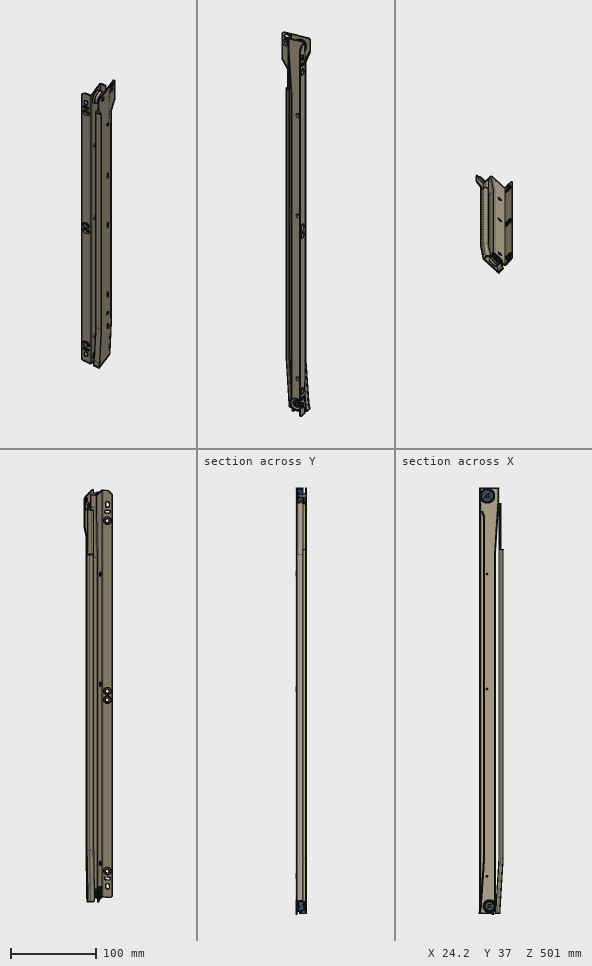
import cadquery as cq

LENGTH = 501.0
SHEET = 1.2
END_GAP = 1.5
CORNER = 2.0
SELECT_MARGIN = 0.15
BEND_RADIUS = 2.0

RAIL_BOTTOM = 6.0
RAIL_TOP = 29.5
RAIL_DEPTH = 8.0
LIP_HEIGHT = 5.5
LIP_BEND_RADIUS = 3.5
SINK_START = 66.0
SINK = 4.0
FLARE_HEIGHT = 8.0
FLARE = 1.5
RAMP_BOTTOM = 467.5
RAMP_TOP = 483.0
HIGH_LIP_BOTTOM = 429.0
HIGH_FLANGE_TOP = 26.5
HIGH_LIP_HEIGHT = 2.5
PLATE_TOP = 37.0
TAPER_BOTTOM = 452.5
TAPER_TOP = 464.5
PLATE_HOLE_Y = 30.5
PLATE_BOSS_Z = 489.0
PLATE_SLOT_Z = 496.5
BOSS_DEPTH = 3.5
TRACK_HOLE_Y = 21.0
TRACK_HOLE_DIAMETER = 3.5
TRACK_HOLES_Z = (434.0, 82.5)
TRACK_SLOT_LENGTH = 8.0
TRACK_SLOT_WIDTH = 1.5
TRACK_SLOTS_Z = (339.0, 246.5, 117.5, 58.5)

RAIL_GAP = 3.0
WEB_X = -(RAIL_DEPTH + RAIL_GAP + SHEET)
WEB_INNER = WEB_X + SHEET
SEAT_WIDTH = 12.0
SEAT_EDGE = WEB_X - SEAT_WIDTH
SEAT_BOTTOM = 1.0
WEB_TOP = 20.0
WEB_END_TOP = 24.0
WEB_SLOPE_BOTTOM = 423.5
WEB_SLOPE_TOP = 486.0
FOLD_WIDTH = 8.0
FOLD_BOTTOM = 16.0
SEAT_CHAMFER = 4.5
SEAT_HOLE_X = -18.5
SCREW_HOLES_Z = (464.5, 255.0, 244.5, 34.0)
CROSS_SLOTS_Z = (475.0, 24.5)
LONG_SLOTS_Z = (484.0, 15.0)
WEB_HOLE_Y = 10.0
WEB_HOLE_DIAMETER = 1.5
WEB_HOLE_RIM = 5.5
WEB_HOLES_Z = (400.5, 265.0, 45.0)
TIP_BOTTOM = 16.0
TIP_TOP = 18.0

SCREW_DIAMETER = 4.5
SCREW_RIM = 9.0
SCREW_BOSS = 1.0
SLOT_LENGTH = 7.0
SLOT_WIDTH = 4.5
CROSS_SLOT_WIDTH = 3.5

CABINET_AXLE = (10.5, 492.0)
CABINET_ROLLER_RADIUS = 8.5
CABINET_ROLLER_X = (-10.5, -4.0)
TREAD_WIDTH = 3.0
HUB_STEP = 1.0
DRAWER_AXLE = (13.0, 10.0)
DRAWER_ROLLER_RADIUS = 6.5
DRAWER_ROLLER_X = (-9.0, -2.5)
ROLLER_CHAMFER = 0.75
LUG_RADIUS = 8.5
DISH_RADIUS = 7.5
DISH_FLOOR_RADIUS = 4.5
DISH_DEPTH = 1.5
SHANK_RADIUS = 1.5
HEAD_RADIUS = 3.0
HEAD_HEIGHT = 1.0


def plate(points, x_from, x_to):
    """Solid with the given Y-Z outline between two X positions."""
    return cq.Workplane("YZ").workplane(offset=x_from).polyline(points).close().extrude(x_to - x_from)


def disc(centre, radius, x_from, x_to):
    """Cylinder along X around a Y-Z centre."""
    return cq.Workplane("YZ").workplane(offset=x_from).center(*centre).circle(radius).extrude(x_to - x_from)


def cone(centre, radius_from, radius_to, x_from, x_to):
    """Truncated cone along X around a Y-Z centre."""
    base = cq.Workplane("YZ").workplane(offset=x_from).center(*centre).circle(radius_from)
    return base.workplane(offset=x_to - x_from).circle(radius_to).loft()


def strip(path, thickness, x_from, x_to):
    """Sheet strip that follows a Y-Z path and is thickened towards +Y."""
    far_side = [(y + thickness, z) for y, z in reversed(path)]
    return plate(path + far_side, x_from, x_to)


def round_bend(body, x, y_from, y_to, radius):
    """Round the edges that run along the length at the given X and within a Y range."""
    zone = cq.selectors.BoxSelector(
        (x - SELECT_MARGIN, y_from - SELECT_MARGIN, SELECT_MARGIN),
        (x + SELECT_MARGIN, y_to + SELECT_MARGIN, LENGTH - SELECT_MARGIN),
    )
    return body.edges(zone).edges("not #Z").fillet(radius)


def make_lipped_flange(top_edge, lip_height, bend_radius):
    """Flange below a Y-Z top edge with a hanging lip along its front."""
    roof = strip([(y - SHEET, z) for y, z in top_edge], SHEET, -RAIL_DEPTH, 0)
    lip = strip([(y - lip_height, z) for y, z in top_edge], lip_height, -RAIL_DEPTH, SHEET - RAIL_DEPTH)
    heights = [y for y, z in top_edge]
    low, high = min(heights), max(heights)
    flange = round_bend(roof.union(lip), SHEET - RAIL_DEPTH, low - SHEET, high - SHEET, bend_radius - SHEET)
    return round_bend(flange, -RAIL_DEPTH, low, high, bend_radius)


def make_cabinet_rail():
    end_bottom = RAIL_BOTTOM - SINK
    low_edge = [
        (end_bottom - FLARE, END_GAP),
        (end_bottom, FLARE_HEIGHT),
        (RAIL_BOTTOM, SINK_START),
        (RAIL_BOTTOM, RAMP_BOTTOM),
        (0, RAMP_TOP),
    ]
    high_edge = [
        (PLATE_TOP, LENGTH - CORNER),
        (PLATE_TOP, TAPER_TOP),
        (RAIL_TOP, TAPER_BOTTOM),
        (RAIL_TOP, SINK_START),
        (RAIL_TOP - SINK, END_GAP),
    ]
    end_edge = [(0, LENGTH - CORNER), (CORNER, LENGTH), (PLATE_TOP - CORNER, LENGTH)]
    rail = plate(low_edge + end_edge + high_edge, -SHEET, 0)

    flange = strip(low_edge, SHEET, -RAIL_DEPTH, 0)
    ramp_cut = (
        cq.Workplane("XZ")
        .polyline([
            (-RAIL_DEPTH, RAMP_BOTTOM + SHEET),
            (-RAIL_DEPTH, LENGTH),
            (-SHEET, LENGTH),
            (-SHEET, RAMP_TOP),
        ])
        .close()
        .extrude(-RAIL_BOTTOM - SHEET)
    )
    rail = rail.union(flange.cut(ramp_cut))

    sinking_top = [(RAIL_TOP - SINK, END_GAP), (RAIL_TOP, SINK_START), (RAIL_TOP, HIGH_LIP_BOTTOM)]
    high_top = [(HIGH_FLANGE_TOP, HIGH_LIP_BOTTOM), (HIGH_FLANGE_TOP, RAMP_TOP)]
    rail = rail.union(make_lipped_flange(sinking_top, LIP_HEIGHT, LIP_BEND_RADIUS))
    rail = rail.union(make_lipped_flange(high_top, HIGH_LIP_HEIGHT, BEND_RADIUS))

    boss = (PLATE_HOLE_Y, PLATE_BOSS_Z)
    rail = rail.union(disc(boss, SCREW_RIM / 2, -BOSS_DEPTH, 0))
    rail = rail.cut(disc(boss, SCREW_DIAMETER / 2, -BOSS_DEPTH, 0))
    slot = cq.Workplane("YZ").center(PLATE_HOLE_Y, PLATE_SLOT_Z).slot2D(SLOT_LENGTH, SLOT_WIDTH)
    rail = rail.cut(slot.extrude(-SHEET))
    for z in TRACK_HOLES_Z:
        rail = rail.cut(disc((TRACK_HOLE_Y, z), TRACK_HOLE_DIAMETER / 2, -SHEET, 0))
    for z in TRACK_SLOTS_Z:
        slot = cq.Workplane("YZ").center(TRACK_HOLE_Y, z).slot2D(TRACK_SLOT_LENGTH, TRACK_SLOT_WIDTH, 90)
        rail = rail.cut(slot.extrude(-SHEET))
    return rail.cut(disc(CABINET_AXLE, SHANK_RADIUS, -SHEET, 0))


def make_seat():
    """Outward flange under the drawer with raised screw rims."""
    seat = (
        cq.Workplane("XZ", origin=(0, SEAT_BOTTOM, 0))
        .polyline([
            (WEB_INNER, END_GAP),
            (SEAT_EDGE + CORNER, END_GAP),
            (SEAT_EDGE, END_GAP + CORNER),
            (SEAT_EDGE, LENGTH - SEAT_CHAMFER),
            (SEAT_EDGE + SEAT_CHAMFER, LENGTH),
            (WEB_INNER, LENGTH),
        ])
        .close()
        .extrude(-SHEET)
    )
    for z in SCREW_HOLES_Z:
        seat = seat.union(seat_sketch(z).circle(SCREW_RIM / 2).extrude(-SHEET - SCREW_BOSS))
    return seat


def seat_sketch(z):
    """Sketch on the underside of the seat, centred on its row of holes at height Z."""
    return cq.Workplane("XZ", origin=(SEAT_HOLE_X, SEAT_BOTTOM, z))


def cut_seat_holes(rail):
    """Tapered screw holes and adjusting slots through the seat."""
    for z in SCREW_HOLES_Z:
        hole = seat_sketch(z).circle(SCREW_RIM / 2 - SHEET)
        rail = rail.cut(hole.workplane(offset=-SHEET - SCREW_BOSS).circle(SCREW_DIAMETER / 2).loft())
    for z in CROSS_SLOTS_Z:
        rail = rail.cut(seat_sketch(z).slot2D(SLOT_LENGTH, CROSS_SLOT_WIDTH).extrude(-SHEET))
    for z in LONG_SLOTS_Z:
        rail = rail.cut(seat_sketch(z).slot2D(SLOT_LENGTH, SLOT_WIDTH, 90).extrude(-SHEET))
    return rail


def make_web_and_fold():
    """Upright web whose top edge rises at the upper end and folds towards the cabinet rail."""
    fold_edge = [
        (WEB_TOP, FOLD_BOTTOM),
        (WEB_TOP, WEB_SLOPE_BOTTOM),
        (WEB_END_TOP, WEB_SLOPE_TOP),
        (WEB_END_TOP, LENGTH),
    ]
    low_edge = [
        (SEAT_BOTTOM, LENGTH),
        (SEAT_BOTTOM, END_GAP),
        (TIP_BOTTOM, END_GAP),
        (TIP_BOTTOM, 0),
        (TIP_TOP, 0),
        (TIP_TOP, FOLD_BOTTOM),
    ]
    web = plate(low_edge + fold_edge, WEB_X, WEB_INNER)
    fold_underside = [(y - SHEET, z) for y, z in fold_edge]
    web = web.union(strip(fold_underside, SHEET, WEB_X, WEB_X + FOLD_WIDTH))
    return round_bend(web, WEB_X, WEB_TOP, WEB_END_TOP, BEND_RADIUS)


def make_drawer_rail():
    rail = make_seat().union(make_web_and_fold())
    lower_bend = cq.selectors.NearestToPointSelector((WEB_INNER, SEAT_BOTTOM, LENGTH / 2))
    rail = rail.edges(lower_bend).fillet(BEND_RADIUS)

    rail = rail.union(disc(DRAWER_AXLE, LUG_RADIUS, WEB_X, WEB_INNER))
    rail = rail.union(cone(DRAWER_AXLE, DISH_RADIUS, DISH_FLOOR_RADIUS, WEB_INNER, WEB_INNER + DISH_DEPTH))
    rail = rail.cut(cone(DRAWER_AXLE, DISH_RADIUS, DISH_FLOOR_RADIUS, WEB_X, WEB_X + DISH_DEPTH))
    rail = rail.cut(disc(DRAWER_AXLE, SHANK_RADIUS, WEB_X, 0))

    for z in WEB_HOLES_Z:
        rail = rail.cut(cone((WEB_HOLE_Y, z), WEB_HOLE_RIM / 2, WEB_HOLE_DIAMETER / 2, WEB_X, WEB_INNER))
    return cut_seat_holes(rail)


def make_roller(centre, radius, x_range, recess_range):
    """Roller with a chamfered tread, a smaller hub, an axle bore and a recess for one end of its rivet."""
    x_from, x_to = x_range
    roller = disc(centre, radius, x_from, x_from + TREAD_WIDTH).faces("<X").chamfer(ROLLER_CHAMFER)
    roller = roller.union(disc(centre, radius - HUB_STEP, x_from, x_to))
    roller = roller.cut(disc(centre, SHANK_RADIUS, *x_range))
    return roller.cut(disc(centre, HEAD_RADIUS, *recess_range))


def make_rivet(centre, shank_range, head_range, collar_range):
    """Axle with a head at one end and a collar on the other side of the roller."""
    rivet = disc(centre, SHANK_RADIUS, *shank_range)
    rivet = rivet.union(disc(centre, HEAD_RADIUS, *head_range))
    return rivet.union(disc(centre, HEAD_RADIUS, *collar_range))


cabinet_rail = make_cabinet_rail()
drawer_rail = make_drawer_rail()

cabinet_roller_start, cabinet_roller_end = CABINET_ROLLER_X
cabinet_head = (cabinet_roller_start, cabinet_roller_start + HEAD_HEIGHT)
cabinet_roller = make_roller(CABINET_AXLE, CABINET_ROLLER_RADIUS, CABINET_ROLLER_X, cabinet_head)
cabinet_rivet = make_rivet(
    CABINET_AXLE,
    (cabinet_roller_start, 0),
    cabinet_head,
    (cabinet_roller_end, -SHEET),
)

drawer_roller_end = DRAWER_ROLLER_X[1]
dish_floor = WEB_X + DISH_DEPTH
drawer_head = (drawer_roller_end - HEAD_HEIGHT, drawer_roller_end)
drawer_roller = make_roller(DRAWER_AXLE, DRAWER_ROLLER_RADIUS, DRAWER_ROLLER_X, drawer_head)
drawer_rivet = make_rivet(
    DRAWER_AXLE,
    (dish_floor, drawer_roller_end),
    drawer_head,
    (dish_floor - HEAD_HEIGHT, dish_floor),
)

result = cq.Compound.makeCompound([
    cabinet_rail.val(),
    drawer_rail.val(),
    cabinet_roller.val(),
    cabinet_rivet.val(),
    drawer_roller.val(),
    drawer_rivet.val(),
])